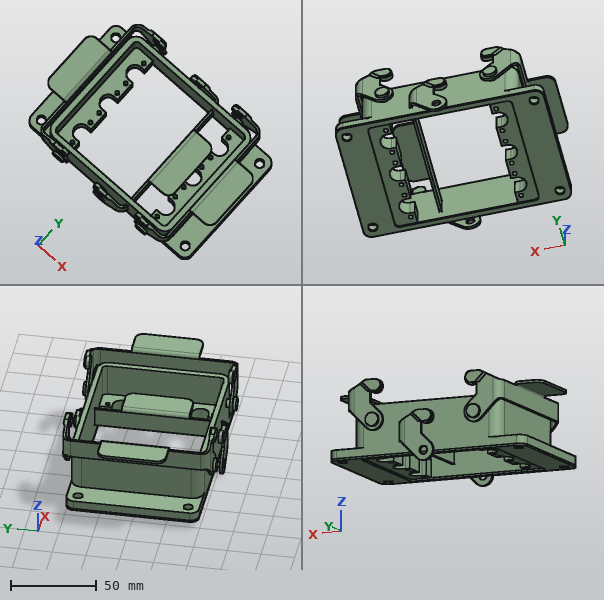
import cadquery as cq
import math

overall_length = 129.5

housing_width = 78.5
flange_length = 124.5
flange_top = 6.3
flange_corner_radius = 4.9
gasket_thickness = 1.2

wall_length = 93.8
wall_top = 31.6
wall_corner_radius = 6.9
cavity_length = 86.2
cavity_width = 72.0
cavity_corner_radius = 2.6

mount_hole_diameter = 5.5
mount_hole_x = 56.1
mount_hole_y = 32.6

ledge_inner_x = 30.0
ledge_top = 11.9
notch_radius = 5.0
notch_x = 33.0
notch_pitch = 23.5
notches_per_ledge = 3
screw_hole_diameter = 2.5
screw_hole_offset = 7.9

pin_diameter = 4.9
pin_head_diameter = 8.0
pin_head_y = 45.2

pivot_x = 32.2
pivot_z = 21.6
sheet_thickness = 1.5
eye_radius = 6.1
eye_hole_diameter = pin_diameter
arm_outer_y = 43.5
strap_outer_u = 17.1
strap_bottom_w = 7.0
strap_top_w = 18.0
strap_corner_radius = 5.0
arm_inner_u = 1.7
hook_top_u = 4.0
hook_top_w = 24.0
hook_bottom_w = 17.1
hook_nose_u = -1.7
hook_nose_radius = 3.5
hook_raise = 0.9
hook_ramp_start = 9.8
hook_ramp_run = 1.5
boss_diameter = 8.0
boss_height = 0.8
tab_width = 40.1
tab_bend_radius = 0.9
tab_corner_radius = 5.0
tab_end_u = overall_length / 2 - pivot_x

spare_pivot_x = 0.0
spare_pivot_z = 1.2

arm_inner_y = arm_outer_y - sheet_thickness
strap_inner_u = strap_outer_u - sheet_thickness


def rounded_block(length, width, bottom, top, radius):
    block = cq.Workplane("XY").workplane(offset=bottom).rect(length, width).extrude(top - bottom)
    return block.edges("|Z").fillet(radius)


def base_layer(bottom, top):
    """One layer of the flange outline, with the four mounting holes."""
    layer = rounded_block(flange_length, housing_width, bottom, top, flange_corner_radius)
    holes = (
        cq.Workplane("XY")
        .workplane(offset=bottom)
        .rect(2 * mount_hole_x, 2 * mount_hole_y, forConstruction=True)
        .vertices()
        .circle(mount_hole_diameter / 2)
        .extrude(top - bottom)
    )
    return layer.cut(holes)


def cavity(bottom, top):
    return rounded_block(cavity_length, cavity_width, bottom, top, cavity_corner_radius)


def ledges():
    """Both ledges, trimmed to the cavity, with notches and screw holes."""
    slot_length = 2 * (notch_x + notch_radius)
    height = ledge_top - gasket_thickness
    shelf = cavity(gasket_thickness, ledge_top)
    plane = cq.Workplane("XY").workplane(offset=gasket_thickness)
    shelf = shelf.cut(plane.rect(2 * ledge_inner_x, cavity_width).extrude(height))
    for row in range(notches_per_ledge):
        notch_y = (row - (notches_per_ledge - 1) / 2) * notch_pitch
        shelf = shelf.cut(plane.center(0, notch_y).slot2D(slot_length, 2 * notch_radius).extrude(height))
        holes = (
            plane.center(0, notch_y)
            .rect(2 * notch_x, 2 * screw_hole_offset, forConstruction=True)
            .vertices()
            .circle(screw_hole_diameter / 2)
            .extrude(height)
        )
        shelf = shelf.cut(holes)
    return shelf


def pin_section(x, diameter, y_start, y_end):
    """A cylinder of a pivot pin on the +Y side."""
    plane = cq.Workplane("XZ", origin=(x, y_start, pivot_z))
    return plane.circle(diameter / 2).extrude(y_start - y_end)


def pivot_pin(x):
    shank = pin_section(x, pin_diameter, housing_width / 2, arm_outer_y)
    head = pin_section(x, pin_head_diameter, arm_outer_y, pin_head_y)
    return shank.union(head)


def housing_frame():
    frame = base_layer(gasket_thickness, flange_top)
    frame = frame.union(
        rounded_block(wall_length, housing_width, gasket_thickness, wall_top, wall_corner_radius)
    )
    frame = frame.cut(cavity(gasket_thickness, wall_top)).union(ledges())
    for x in (-pivot_x, pivot_x):
        pin = pivot_pin(x)
        frame = frame.union(pin).union(pin.mirror("XZ"))
    return frame


def flange_gasket():
    return base_layer(0, gasket_thickness).cut(cavity(0, gasket_thickness))


def latch_side_profile():
    """Side outline of the arm and strap: a round eye, 45 degree shank and hook nose."""
    tangent = eye_radius / math.sqrt(2)
    shank_offset = eye_radius * math.sqrt(2)
    knee_u = strap_bottom_w + shank_offset
    nose_w = hook_top_w - hook_nose_radius
    nose_end_u = hook_nose_u - math.sqrt(hook_nose_radius**2 - (nose_w - hook_bottom_w) ** 2)
    return (
        cq.Workplane("XZ")
        .moveTo(tangent, -tangent)
        .lineTo(knee_u, strap_bottom_w)
        .lineTo(strap_outer_u, strap_bottom_w)
        .lineTo(strap_outer_u, strap_top_w)
        .lineTo(knee_u, strap_top_w)
        .lineTo(hook_top_u, hook_top_w)
        .lineTo(hook_nose_u, hook_top_w)
        .threePointArc((hook_nose_u - hook_nose_radius, nose_w), (nose_end_u, hook_bottom_w))
        .lineTo(arm_inner_u, hook_bottom_w)
        .lineTo(arm_inner_u, arm_inner_u + shank_offset)
        .lineTo(-tangent, tangent)
        .threePointArc((-tangent, -tangent), (tangent, -tangent))
        .close()
    )


def strap_plan(outer_u, outer_y, radius):
    """A tall block with rounded outer corners, long enough to hold the whole latch."""
    reach = 2 * strap_outer_u
    block = cq.Workplane("XY").box(reach, 2 * outer_y, 4 * hook_top_w)
    return block.edges("|Z and >X").fillet(radius).translate((outer_u - reach / 2, 0, 0))


def latch_bracket():
    """The U-shaped strap with both arms."""
    outer = strap_plan(strap_outer_u, arm_outer_y, strap_corner_radius)
    inner = strap_plan(strap_inner_u, arm_inner_y, strap_corner_radius - sheet_thickness)
    bracket = latch_side_profile().extrude(arm_outer_y, both=True).intersect(outer.cut(inner))
    eye_holes = cq.Workplane("XZ").circle(eye_hole_diameter / 2).extrude(arm_outer_y, both=True)
    return bracket.cut(eye_holes)


def hook():
    """The raised outer face of one hook, with its ramp, and the boss on its inner face (+Y arm)."""
    raised_y = arm_outer_y + hook_raise
    tip = latch_side_profile().extrude(-raised_y)
    below_hook = cq.Workplane("XY").box(4 * strap_outer_u, 4 * raised_y, 2 * hook_top_w)
    tip = tip.cut(below_hook.translate((0, 0, hook_bottom_w - hook_top_w)))
    across_ramp = cq.Plane(origin=(0, 0, 0), xDir=(-1, 0, 1), normal=(1, 0, 1))
    far_side = 2 * hook_top_w
    ramp = (
        cq.Workplane(across_ramp)
        .polyline(
            [
                (hook_ramp_start, -arm_inner_y),
                (hook_ramp_start, -arm_outer_y),
                (hook_ramp_start + hook_ramp_run, -raised_y),
                (far_side, -raised_y),
                (far_side, -arm_inner_y),
            ]
        )
        .close()
        .extrude(far_side, both=True)
    )
    boss_radius = boss_diameter / 2
    boss = (
        cq.Workplane("XZ", origin=(hook_nose_u, arm_inner_y - boss_height, hook_top_w - boss_radius))
        .circle(boss_radius)
        .extrude(-boss_height - sheet_thickness)
    )
    return tip.intersect(ramp).union(boss)


def latch_tab():
    """The finger tab, bent outward from the top edge of the strap."""
    outer_radius = tab_bend_radius + sheet_thickness
    bend_u = strap_inner_u + outer_radius
    diagonal = math.sqrt(0.5)
    tab = (
        cq.Workplane("XZ")
        .moveTo(strap_inner_u, strap_top_w)
        .threePointArc(
            (bend_u - outer_radius * diagonal, strap_top_w + outer_radius * diagonal),
            (bend_u, strap_top_w + outer_radius),
        )
        .lineTo(tab_end_u, strap_top_w + outer_radius)
        .lineTo(tab_end_u, strap_top_w + tab_bend_radius)
        .lineTo(bend_u, strap_top_w + tab_bend_radius)
        .threePointArc(
            (bend_u - tab_bend_radius * diagonal, strap_top_w + tab_bend_radius * diagonal),
            (strap_outer_u, strap_top_w),
        )
        .close()
        .extrude(tab_width / 2, both=True)
    )
    return tab.edges("|Z and >X").fillet(tab_corner_radius)


def latch():
    """A complete latch with its pivot axis on the Y axis and its tab toward +X."""
    tip = hook()
    return latch_bracket().union(tip).union(tip.mirror("XZ")).union(latch_tab())


latch_shape = latch()
right_latch = latch_shape.translate((pivot_x, 0, pivot_z))
left_latch = right_latch.mirror("YZ")
spare_latch = latch_shape.translate((spare_pivot_x, 0, spare_pivot_z))
latches = [left_latch, right_latch, spare_latch]

housing = housing_frame().cut(spare_latch)
gasket = flange_gasket()

result = cq.Compound.makeCompound([housing.val(), gasket.val(), *[body.val() for body in latches]])